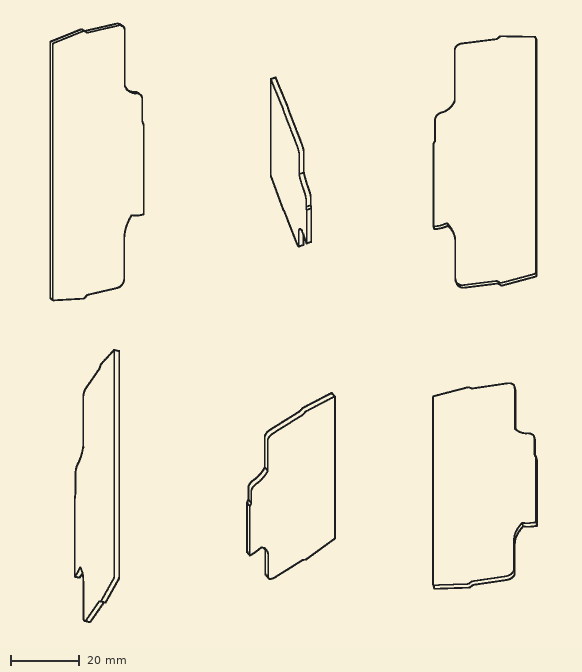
import cadquery as cq
import math

thickness = 1.5
depth = 30.5
height = 85.2
half_height = height / 2

ridge_drop = 1.7
ridge_y = 10.5
step_y = 11.55
upper_step = 0.8
lower_step = 0.9
front_corner_radius = 0.45
step_radius = 0.5

slope_angle = math.atan2(ridge_drop, ridge_y)
step_angle = math.atan2((upper_step + lower_step) / 2, step_y - ridge_y)
step_tangent = step_radius * math.tan((slope_angle + step_angle) / 2)
tip_loss = step_tangent * math.sin(slope_angle) - step_radius * (1 - math.cos(slope_angle))
sharp_tip_z = half_height + tip_loss

upper_rear_y = 24.15
lower_rear_y = 23.95
upper_rear_radius = 2.1
lower_rear_radius = 2.5

tongue_upper_y = 30.0
tongue_bottom_z = -20.2
tongue_bevel_top_z = 9.5
tongue_bevel_bottom_z = 8.2

upper_notch_z = 22.2
upper_notch_end = (27.6, 18.9)
upper_notch_radius = 5.3
shoulder_bottom_z = 16.6
shoulder_radius = 2.4

lip_y = 26.4
lip_z = -19.6
lip_radius = 9.0
lower_notch_z = -26.7
lower_notch_radius = 11.5


def arc_midpoint(start, end, radius):
    """Middle of the short arc from start to end that bulges right of the direction of travel.

    A negative radius makes the arc bulge to the left.
    """
    dy = end[0] - start[0]
    dz = end[1] - start[1]
    chord = math.hypot(dy, dz)
    bulge = abs(radius) - math.sqrt(radius**2 - (chord / 2)**2)
    offset = math.copysign(bulge, radius) / chord
    return ((start[0] + end[0]) / 2 + dz * offset, (start[1] + end[1]) / 2 - dy * offset)


def arc_to(outline, start, end, radius):
    """Extend the outline along an arc of the given signed radius."""
    return outline.threePointArc(arc_midpoint(start, end, radius), end)


def make_plate():
    """Extrude the sharp-cornered outline, with the notch curves already in it."""
    front_z = half_height - ridge_drop
    upper_z = half_height - upper_step
    lower_z = -half_height + lower_step
    upper_notch_start = (upper_rear_y, upper_notch_z)
    shoulder_end = (tongue_upper_y, shoulder_bottom_z)
    tongue_corner = (depth, tongue_bottom_z)
    lip_end = (lip_y, lip_z)
    lower_notch_end = (lower_rear_y, lower_notch_z)

    outline = (
        cq.Workplane("YZ")
        .moveTo(0, -front_z)
        .lineTo(0, front_z)
        .lineTo(ridge_y, sharp_tip_z)
        .lineTo(step_y, upper_z)
        .lineTo(upper_rear_y, upper_z)
        .lineTo(*upper_notch_start)
    )
    outline = arc_to(outline, upper_notch_start, upper_notch_end, upper_notch_radius)
    outline = arc_to(outline, upper_notch_end, shoulder_end, -shoulder_radius)
    outline = (
        outline
        .lineTo(tongue_upper_y, tongue_bevel_top_z)
        .lineTo(depth, tongue_bevel_bottom_z)
        .lineTo(*tongue_corner)
    )
    outline = arc_to(outline, tongue_corner, lip_end, -lip_radius)
    outline = arc_to(outline, lip_end, lower_notch_end, lower_notch_radius)
    return (
        outline
        .lineTo(lower_rear_y, lower_z)
        .lineTo(step_y, lower_z)
        .lineTo(ridge_y, -sharp_tip_z)
        .close()
        .extrude(thickness)
    )


def round_corner(plate, y, z, radius):
    """Round the corner edge of the plate nearest to the given outline point."""
    corner = cq.selectors.NearestToPointSelector((thickness / 2, y, z))
    return plate.edges("|X").edges(corner).fillet(radius)


result = make_plate()
for side in (-1, 1):
    result = round_corner(result, 0, side * (half_height - ridge_drop), front_corner_radius)
    result = round_corner(result, ridge_y, side * sharp_tip_z, step_radius)
result = round_corner(result, step_y, half_height - upper_step, step_radius)
result = round_corner(result, step_y, -half_height + lower_step, step_radius)
result = round_corner(result, upper_rear_y, half_height - upper_step, upper_rear_radius)
result = round_corner(result, lower_rear_y, -half_height + lower_step, lower_rear_radius)